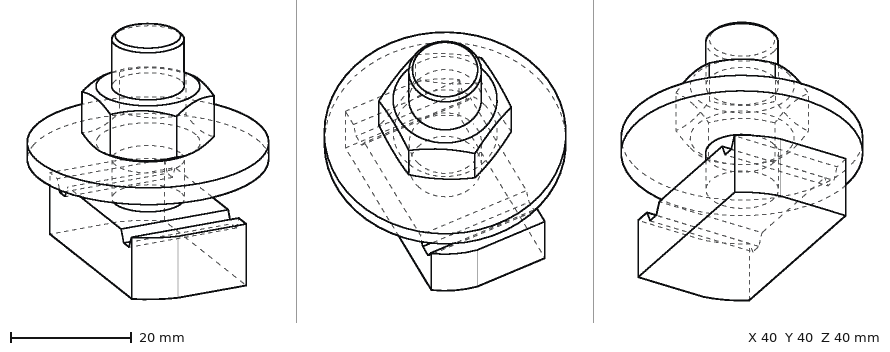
import cadquery as cq
import math

total_height = 40.0
head_height = 11.0
washer_bottom = 18.0
washer_thickness = 3.0
nut_height = 10.0
nut_bottom = washer_bottom + washer_thickness

stud_diameter = 12.0
stud_chamfer = 0.6

washer_diameter = 40.0

nut_sides = 6
nut_across_flats = 19.0
nut_face_diameter = 17.2
nut_chamfer_angle = 30.0

head_length = 34.45
head_width = 19.65
round_start = 2.7

groove_offset = 12.3
groove_top_width = 4.0
groove_floor_width = 2.0
groove_depth = 2.1


def make_head():
    half_length = head_length / 2
    half_width = head_width / 2
    radius = math.hypot(half_length, round_start)
    round_end = math.sqrt(radius**2 - half_width**2)
    middle = (math.atan2(round_start, half_length) + math.atan2(half_width, round_end)) / 2
    mid_x = radius * math.cos(middle)
    mid_y = radius * math.sin(middle)
    return (
        cq.Workplane("XY")
        .moveTo(-half_length, -half_width)
        .lineTo(round_end, -half_width)
        .threePointArc((mid_x, -mid_y), (half_length, -round_start))
        .lineTo(half_length, half_width)
        .lineTo(-round_end, half_width)
        .threePointArc((-mid_x, mid_y), (-half_length, round_start))
        .close()
        .extrude(head_height)
    )


def make_groove(center_x):
    floor = head_height - groove_depth
    return (
        cq.Workplane("XZ")
        .polyline([
            (center_x - groove_top_width / 2, head_height),
            (center_x - groove_floor_width / 2, floor),
            (center_x + groove_floor_width / 2, floor),
            (center_x + groove_top_width / 2, head_height),
        ])
        .close()
        .extrude(head_width, both=True)
    )


def make_nut():
    across_corners = nut_across_flats / math.cos(math.pi / nut_sides)
    corner_radius = across_corners / 2
    face_radius = nut_face_diameter / 2
    slope = math.tan(math.radians(nut_chamfer_angle))
    chamfer_height = (corner_radius - face_radius) * slope
    prism = cq.Workplane("XY").polygon(nut_sides, across_corners).extrude(nut_height)
    envelope = (
        cq.Workplane("XZ")
        .polyline([
            (0, 0),
            (face_radius, 0),
            (corner_radius, chamfer_height),
            (corner_radius, nut_height - chamfer_height),
            (face_radius, nut_height),
            (0, nut_height),
        ])
        .close()
        .revolve(360, (0, 0, 0), (0, 1, 0))
    )
    return prism.intersect(envelope).translate((0, 0, nut_bottom))


head = make_head()
for side in (-1, 1):
    head = head.cut(make_groove(side * groove_offset))

stud = (
    cq.Workplane("XY")
    .circle(stud_diameter / 2)
    .extrude(total_height)
    .faces(">Z")
    .chamfer(stud_chamfer)
)

washer = (
    cq.Workplane("XY")
    .workplane(offset=washer_bottom)
    .circle(washer_diameter / 2)
    .extrude(washer_thickness)
)

result = head.union(stud).union(washer).union(make_nut())